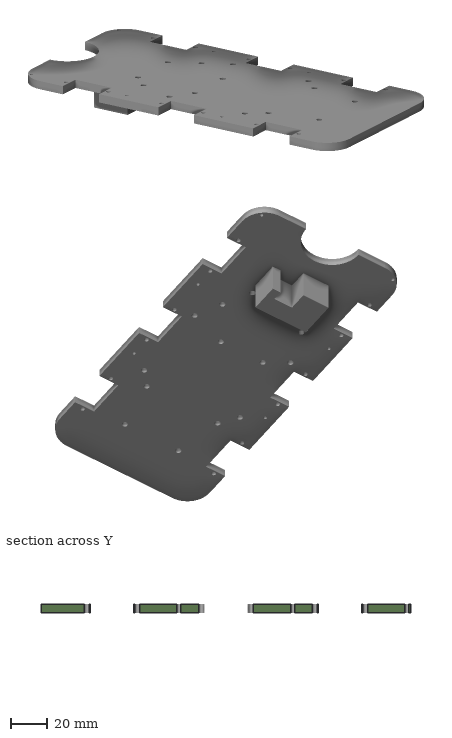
import cadquery as cq

length = 210.0
width = 100.0
thickness = 4.8
corner_radius = 15.0
end_cutout_radius = 17.5

notch_depth = 12.5
middle_notch_half_width = 11.8
outer_notch_inner_x = 51.0
outer_notch_outer_x = 75.0

row_y = 43.7
notch_hole_offset = 2.0
notch_hole_diameter = 2.5
pin_hole_diameter = 1.9
pin_hole_inset = 5.0
pin_hole_pitch = 63.0
pin_hole_columns = 3

mount_hole_diameter = 3.4
left_pair_x = -48.3
left_pair_y = 15.0
right_pair_x = 73.5
right_pair_y = 17.8
middle_pair = [(-8.0, 8.8), (-8.0, -19.1)]
outer_quad_x = [-16.4, 33.5]
outer_quad_y = 32.0
inner_quad = [(-32.0, 24.0), (42.8, 24.0), (-38.6, -24.2), (44.0, -24.2)]

block_length = 22.5
block_width = 33.5
block_height = 17.8
block_start = 28.5
slot_width = 11.8
slot_depth = block_length / 2
leg_width = block_width / 2 - slot_width
leg_setback = 5.2


def make_plate():
    """Rounded rectangular plate with a half-round cutout in its -X end."""
    plate = cq.Workplane("XY").rect(length, width).extrude(thickness)
    plate = plate.edges("|Z").fillet(corner_radius)
    cutout = cq.Workplane("XY").center(-length / 2, 0).circle(end_cutout_radius).extrude(thickness)
    return plate.cut(cutout)


def make_notch_pair(x_min, x_max):
    """Cutters for a pair of notches that face each other across the plate."""
    centre_x = (x_min + x_max) / 2
    points = [(centre_x, side * width / 2) for side in (-1, 1)]
    return cq.Workplane("XY").pushPoints(points).rect(x_max - x_min, 2 * notch_depth).extrude(thickness)


def drill(body, points, diameter):
    """Cut through holes of one diameter at the given points."""
    return body.cut(cq.Workplane("XY").pushPoints(points).circle(diameter / 2).extrude(thickness))


def mirrored_in_y(x_values, y):
    """Points at each x, at both +y and -y."""
    return [(x, side * y) for x in x_values for side in (-1, 1)]


def make_block():
    """Block with an upright slot in its -X face and a narrow, set-back leg on the slot's +Y side."""
    x_start = block_start - length / 2
    x_end = x_start + block_length
    x_slot = x_start + slot_depth
    x_leg = x_start + leg_setback
    y_outer = block_width / 2
    y_leg = y_outer - leg_width
    footprint = [
        (x_start, -y_outer),
        (x_end, -y_outer),
        (x_end, y_outer),
        (x_leg, y_outer),
        (x_leg, y_leg),
        (x_slot, y_leg),
        (x_slot, 0),
        (x_start, 0),
    ]
    return cq.Workplane("XY").polyline(footprint).close().extrude(-block_height)


plate = make_plate()

notches = [
    (-outer_notch_outer_x, -outer_notch_inner_x),
    (-middle_notch_half_width, middle_notch_half_width),
    (outer_notch_inner_x, outer_notch_outer_x),
]
for x_min, x_max in notches:
    plate = plate.cut(make_notch_pair(x_min, x_max))
    hole_x = (x_min - notch_hole_offset, x_max + notch_hole_offset)
    plate = drill(plate, mirrored_in_y(hole_x, row_y), notch_hole_diameter)

pin_hole_x = [pin_hole_inset - length / 2 + i * pin_hole_pitch for i in range(pin_hole_columns)]
plate = drill(plate, mirrored_in_y(pin_hole_x, row_y), pin_hole_diameter)

mount_holes = inner_quad + middle_pair
mount_holes += mirrored_in_y(outer_quad_x, outer_quad_y)
mount_holes += mirrored_in_y([left_pair_x], left_pair_y)
mount_holes += mirrored_in_y([right_pair_x], right_pair_y)
plate = drill(plate, mount_holes, mount_hole_diameter)

result = plate.union(make_block())